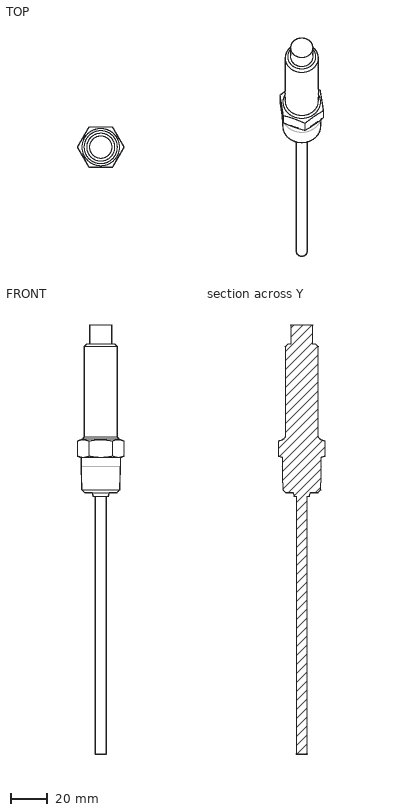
import cadquery as cq
import math

total_height = 232.5
shoulder_z = 222.2
hex_top_z = 170.5
hex_bottom_z = 160.5
taper_start_z = 155.7
thread_end_z = 141.5
collar_bottom_z = 139.5

neck_diameter = 12.0
body_diameter = 18.0
thread_diameter = 21.4
collar_diameter = 8.1
collar_root_diameter = 9.3
rod_diameter = 6.0

hex_ledge = 0.3
hex_across_flats = thread_diameter + 2 * hex_ledge
hex_across_corners = hex_across_flats / math.cos(math.radians(30))
hex_bevel_angle = 22.0

body_chamfer = 1.5
body_flare = 1.2
thread_chamfer = 1.6
tip_chamfer = 0.2
thread_taper = 1 / 16


def revolve_profile(points):
    """Revolve (radius, height) points around the Z axis."""
    return cq.Workplane("XZ").polyline(points).close().revolve(360, (0, 0, 0), (0, 1, 0))


def make_turned_parts():
    """Rod, collar, tapered thread, body and neck as one turned shape."""
    rod_radius = rod_diameter / 2
    body_radius = body_diameter / 2
    thread_radius = thread_diameter / 2
    chamfer_top_z = thread_end_z + thread_chamfer
    thread_small_radius = thread_radius - (taper_start_z - chamfer_top_z) * thread_taper / 2
    return revolve_profile([
        (0, 0),
        (rod_radius - tip_chamfer, 0),
        (rod_radius, tip_chamfer),
        (rod_radius, collar_bottom_z),
        (collar_diameter / 2, collar_bottom_z),
        (collar_root_diameter / 2, thread_end_z),
        (thread_small_radius - thread_chamfer, thread_end_z),
        (thread_small_radius, chamfer_top_z),
        (thread_radius, taper_start_z),
        (thread_radius, hex_bottom_z),
        (body_radius + body_flare, hex_bottom_z),
        (body_radius + body_flare, hex_top_z),
        (body_radius, hex_top_z + body_flare),
        (body_radius, shoulder_z - body_chamfer),
        (body_radius - body_chamfer, shoulder_z),
        (neck_diameter / 2, shoulder_z),
        (neck_diameter / 2, total_height),
        (0, total_height),
    ])


def make_hexagon():
    """Hexagon trimmed by a cone at each end to bevel its corners."""
    prism = (
        cq.Workplane("XY", origin=(0, 0, hex_bottom_z))
        .polygon(6, hex_across_corners)
        .extrude(hex_top_z - hex_bottom_z)
    )
    corner_radius = hex_across_corners / 2
    top_radius = body_diameter / 2 + body_flare
    bottom_radius = thread_diameter / 2
    slope = math.tan(math.radians(hex_bevel_angle))
    bevelled_blank = revolve_profile([
        (0, hex_bottom_z),
        (bottom_radius, hex_bottom_z),
        (corner_radius, hex_bottom_z + (corner_radius - bottom_radius) * slope),
        (corner_radius, hex_top_z - (corner_radius - top_radius) * slope),
        (top_radius, hex_top_z),
        (0, hex_top_z),
    ])
    return prism.intersect(bevelled_blank)


result = make_turned_parts().union(make_hexagon())